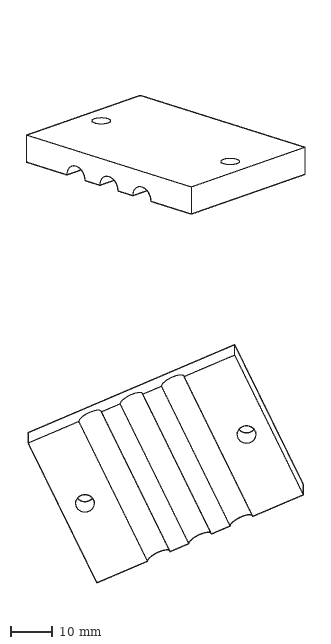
import cadquery as cq

length = 55.0
width = 40.0
thickness = 7.0

groove_diameter = 6.0
groove_spacing = 11.0
groove_count = 3

hole_diameter = 4.5
hole_spacing = 43.0


def make_plate():
    """Rectangular plate resting on Z = 0, centred in X and Y."""
    return cq.Workplane("XY").box(length, width, thickness, centered=(True, True, False))


def make_grooves():
    """Full cylinders centred on the underside, leaving half-round grooves when cut."""
    return (
        cq.Workplane("XZ")
        .rarray(groove_spacing, 0.55, groove_count, 1)
        .circle(groove_diameter / 2)
        .extrude(width / 2, both=True)
    )


def make_holes():
    """Pair of cylinders passing through the plate thickness."""
    return (
        cq.Workplane("XY")
        .rarray(hole_spacing, 0.55, 2, 1)
        .circle(hole_diameter / 2)
        .extrude(thickness)
    )


result = make_plate().cut(make_grooves()).cut(make_holes())